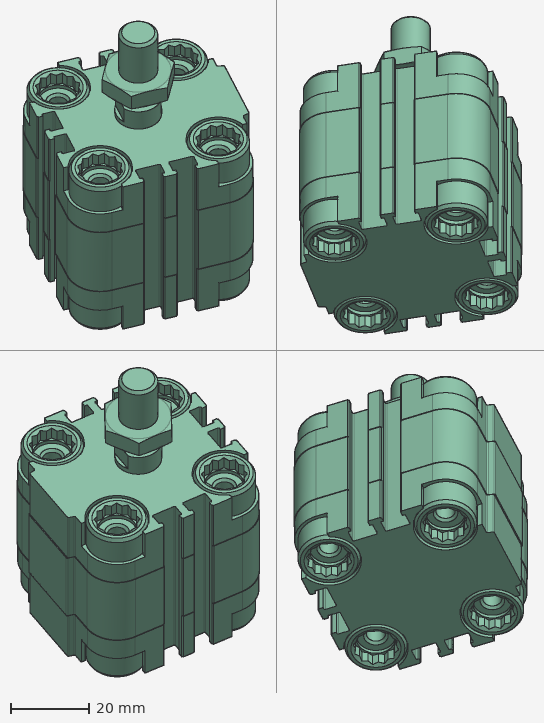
import cadquery as cq
import math


total_height = 77.5
housing_width = 50.0
housing_depth = 52.0

housing_height = 49.45
barrel_bottom = 14.6
barrel_top = 35.1
barrel_half = housing_width / 2
cap_step = 0.15
cap_half = barrel_half - cap_step

barrel_rail_top = housing_depth - barrel_half
cap_rail_step = 0.3
cap_rail_top = barrel_rail_top - cap_rail_step
rail_base_half = 9.9
rail_top_half = 9.45
rail_round = 0.4

slot_offset = 4.5
slot_mouth_width = 5.2
slot_chamber_width = 6.75
slot_floor = 19.9
slot_lip_inner = 23.3
slot_round = 0.3

bolt_pitch = 32.0
bolt_offset = bolt_pitch / 2
collar_diameter = 16.0
collar_clearance = 0.2
collar_chamfer_width = 0.6
collar_chamfer_height = 1.0
pocket_depth = 8.0
pocket_wall_offset = 3.0

socket_mouth_diameter = 12.8
socket_mouth_angle = 30.0
socket_flats = 10.1
socket_points_depth = 3.9
socket_depth = 4.95
socket_bore_diameter = 10.0
screw_hole_diameter = 4.9
screw_hole_mouth_diameter = 6.3

rod_diameter = 12.0
thread_diameter = 10.0
neck_diameter = 8.45
rod_shoulder = 55.4
thread_start = 57.4
thread_chamfer = (thread_diameter - neck_diameter) / 2
wrench_flats = 10.0
wrench_flats_bottom = 50.85

nut_flats = 17.0
nut_bottom = 59.45
nut_height = 5.0
nut_face_diameter = 16.75
nut_chamfer_angle = 15.0


def across_corners(flats):
    return flats / math.cos(math.pi / 6)



def rail(half, top, height):
    """Tapered rail along the +Y side, reaching in to the X axis, with rounded outer corners."""
    outline = [(-rail_base_half, 0), (-rail_base_half, half), (-rail_top_half, top),
               (rail_top_half, top), (rail_base_half, half), (rail_base_half, 0)]
    return (cq.Workplane("XY").polyline(outline).close().extrude(height)
            .edges("|Z and >Y").fillet(rail_round))


def t_slot(half, height):
    """Cutter for one T-slot opening to +X, with a rounded mouth and rounded chamber corners."""
    mouth = slot_mouth_width / 2
    chamber = slot_chamber_width / 2
    round_start = half - slot_round
    return (cq.Workplane("XY").moveTo(half, -mouth - slot_round)
            .radiusArc((round_start, -mouth), slot_round)
            .lineTo(slot_lip_inner, -mouth)
            .lineTo(slot_lip_inner, -chamber)
            .lineTo(slot_floor, -chamber)
            .lineTo(slot_floor, chamber)
            .lineTo(slot_lip_inner, chamber)
            .lineTo(slot_lip_inner, mouth)
            .lineTo(round_start, mouth)
            .radiusArc((half, mouth + slot_round), slot_round)
            .close().extrude(height)
            .edges("|Z and (<Y or >Y)").fillet(slot_round))


def profile_section(half, rail_top, bottom, top):
    """One stretch of the housing profile between two heights."""
    height = top - bottom
    rail_foot = cq.selectors.BoxSelector((-rail_base_half - rail_round, half - rail_round, 0),
                                         (rail_base_half + rail_round, half + rail_round, height))
    section = (cq.Workplane("XY").rect(2 * half, 2 * half).extrude(height)
               .edges("|Z").fillet(half - bolt_offset)
               .union(rail(half, rail_top, height))
               .edges("|Z").edges(rail_foot).fillet(rail_round))
    slot = t_slot(half, height)
    for side_angle in (0, 180, 270):
        for offset in (-slot_offset, slot_offset):
            cutter = slot.translate((0, offset, 0)).rotate((0, 0, 0), (0, 0, 1), side_angle)
            section = section.cut(cutter)
    return section.translate((0, 0, bottom))


def collar_pocket():
    """Cutter that clears one upper corner around its collar, for the +X +Y corner."""
    floor = cq.Workplane("XY").workplane(offset=housing_height - pocket_depth)
    wall = bolt_offset - pocket_wall_offset
    corner = floor.moveTo(wall, wall).rect(barrel_half, barrel_half, centered=False).extrude(pocket_depth)
    ring = (floor.center(bolt_offset, bolt_offset)
            .circle(collar_diameter / 2 + collar_clearance).extrude(pocket_depth))
    return corner.union(ring)


def collar():
    """Upper collar of the +X +Y corner, with a steep chamfer round its rim."""
    return (cq.Workplane("XY").workplane(offset=housing_height - pocket_depth)
            .center(bolt_offset, bolt_offset)
            .circle(collar_diameter / 2).extrude(pocket_depth)
            .faces(">Z").edges().chamfer(collar_chamfer_height, collar_chamfer_width))


def socket():
    """Cutter for an upper screw socket: entry cone, twelve-point recess, bore and countersink."""
    top = cq.Workplane("XY").workplane(offset=housing_height)
    mouth_radius = socket_mouth_diameter / 2
    cone_depth = mouth_radius * math.tan(math.radians(socket_mouth_angle))
    cone = cq.Workplane(cq.Solid.makeCone(
        mouth_radius, 0, cone_depth, cq.Vector(0, 0, housing_height), cq.Vector(0, 0, -1)))
    hexagon = top.polygon(6, across_corners(socket_flats)).extrude(-socket_points_depth)
    turned_hexagon = hexagon.rotate((0, 0, 0), (0, 0, 1), 30)
    bore = top.circle(socket_bore_diameter / 2).extrude(-socket_depth)

    hole_radius = screw_hole_diameter / 2
    hole_mouth_radius = screw_hole_mouth_diameter / 2
    countersink = cq.Workplane(cq.Solid.makeCone(
        hole_mouth_radius, hole_radius, hole_mouth_radius - hole_radius,
        cq.Vector(0, 0, housing_height - socket_depth), cq.Vector(0, 0, -1)))
    return (cone.union(hexagon).union(turned_hexagon).union(bore).union(countersink)
            .translate((bolt_offset, bolt_offset, 0)))


def screw_hole():
    """Cutter for the through hole of the +X +Y corner."""
    return (cq.Workplane("XY").center(bolt_offset, bolt_offset)
            .circle(screw_hole_diameter / 2).extrude(housing_height))


def at_all_corners(shape):
    """Copies of an upper +X +Y corner shape for all four corners, at both ends of the housing."""
    copies = []
    for angle in (0, 90, 180, 270):
        upper = shape.rotate((0, 0, 0), (0, 0, 1), angle)
        lower = upper.mirror("XY", (0, 0, housing_height / 2))
        copies += [upper, lower]
    return copies


def make_housing():
    body = (profile_section(cap_half, cap_rail_top, 0, barrel_bottom)
            .union(profile_section(barrel_half, barrel_rail_top, barrel_bottom, barrel_top))
            .union(profile_section(cap_half, cap_rail_top, barrel_top, housing_height)))
    for pocket in at_all_corners(collar_pocket()):
        body = body.cut(pocket)
    for screw_collar in at_all_corners(collar()):
        body = body.union(screw_collar)
    for cutter in at_all_corners(socket().union(screw_hole())):
        body = body.cut(cutter)
    return body



def make_rod():
    """Rod standing on the housing, with a neck, a chamfered thread and two wrench flats."""
    rod_radius = rod_diameter / 2
    neck_radius = neck_diameter / 2
    thread_radius = thread_diameter / 2
    half_outline = [(0, housing_height),
                    (rod_radius, housing_height),
                    (rod_radius, rod_shoulder),
                    (neck_radius, rod_shoulder),
                    (neck_radius, thread_start),
                    (thread_radius, thread_start + thread_chamfer),
                    (thread_radius, total_height - thread_chamfer),
                    (neck_radius, total_height),
                    (0, total_height)]
    rod = cq.Workplane("XZ").polyline(half_outline).close().revolve(360, (0, 0), (0, 1))
    flats_height = rod_shoulder - wrench_flats_bottom
    outside_flats = (cq.Workplane("XY").workplane(offset=wrench_flats_bottom)
                     .rect(2 * rod_diameter, 2 * rod_diameter)
                     .rect(2 * rod_diameter, wrench_flats)
                     .extrude(flats_height))
    return rod.cut(outside_flats)



def make_nut():
    """Hexagon nut with corners on the Y axis, chamfered by a cone at both faces."""
    corner_radius = across_corners(nut_flats) / 2
    face_radius = nut_face_diameter / 2
    corner_drop = (corner_radius - face_radius) * math.tan(math.radians(nut_chamfer_angle))
    nut_top = nut_bottom + nut_height
    blank = (cq.Workplane("XY").workplane(offset=nut_bottom)
             .polygon(6, 2 * corner_radius).extrude(nut_height)
             .rotate((0, 0, 0), (0, 0, 1), 30))
    turned_outline = [(0, nut_bottom),
                      (face_radius, nut_bottom),
                      (corner_radius, nut_bottom + corner_drop),
                      (corner_radius, nut_top - corner_drop),
                      (face_radius, nut_top),
                      (0, nut_top)]
    turned = cq.Workplane("XZ").polyline(turned_outline).close().revolve(360, (0, 0), (0, 1))
    thread_hole = (cq.Workplane("XY").workplane(offset=nut_bottom)
                   .circle(thread_diameter / 2).extrude(nut_height))
    return blank.intersect(turned).cut(thread_hole)


housing = make_housing()
rod = make_rod()
nut = make_nut()

result = cq.Compound.makeCompound([housing.solids().val(), rod.solids().val(), nut.solids().val()])